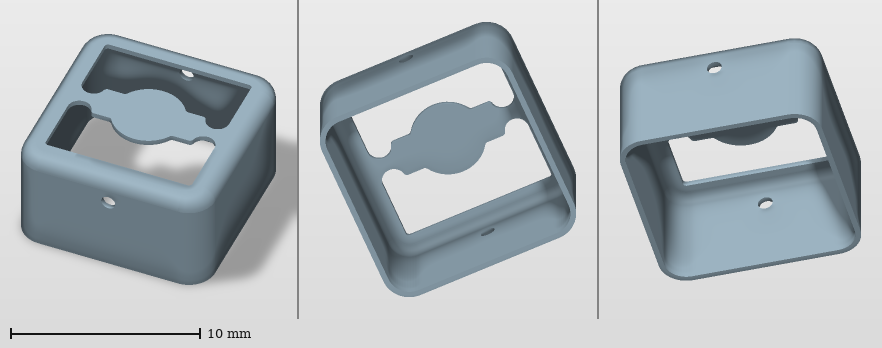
import cadquery as cq

side = 11.0
height = 6.0
wall = 0.3
corner_radius = 1.5
top_edge_radius = 0.8

window_half_side = 4.2
bridge_half_width = 1.0
disc_radius = 2.0
relief_radius = 0.65
window_corner_radius = 0.2

cross_hole_diameter = 0.8
cross_hole_height = 4.4


def rounded_block(block_side, block_height, vertical_radius, top_radius):
    """Square block standing on Z = 0 with rounded vertical and top edges."""
    block = cq.Workplane("XY").rect(block_side, block_side).extrude(block_height)
    return block.edges("|Z").fillet(vertical_radius).faces(">Z").edges().fillet(top_radius)


def make_shell():
    """Cap of constant wall thickness: the cavity is the outside offset inward."""
    outside = rounded_block(side, height, corner_radius, top_edge_radius)
    cavity = rounded_block(
        side - 2 * wall,
        height - wall,
        corner_radius - wall,
        top_edge_radius - wall,
    )
    return outside.cut(cavity)


def make_window():
    """Cutter for the +Y window, with round reliefs where the bridge meets the frame."""
    base = height - 2 * wall
    depth = 3 * wall
    relief_x = window_half_side - relief_radius
    window_width = window_half_side - bridge_half_width

    opening = (
        cq.Workplane("XY", origin=(0, bridge_half_width + window_width / 2, base))
        .rect(2 * window_half_side, window_width)
        .extrude(depth)
        .edges("|Z and >Y")
        .fillet(window_corner_radius)
    )
    reliefs = (
        cq.Workplane("XY", origin=(0, bridge_half_width, base))
        .pushPoints([(-relief_x, 0), (relief_x, 0)])
        .circle(relief_radius)
        .extrude(depth)
    )
    disc = cq.Workplane("XY", origin=(0, 0, base)).circle(disc_radius).extrude(depth)
    window = opening.union(reliefs).cut(disc)

    corner_reach = relief_x - relief_radius + window_corner_radius
    bridge_corners = cq.selectors.BoxSelector(
        (-corner_reach, bridge_half_width - window_corner_radius, base - wall),
        (corner_reach, bridge_half_width + window_corner_radius, base + depth + wall),
    )
    return window.edges("|Z").edges(bridge_corners).fillet(window_corner_radius)


def make_cross_hole():
    """Cutter along Y through both opposite walls."""
    return (
        cq.Workplane("XZ", origin=(0, 0, cross_hole_height))
        .circle(cross_hole_diameter / 2)
        .extrude(side, both=True)
    )


window = make_window()
result = (
    make_shell()
    .cut(window)
    .cut(window.mirror("XZ"))
    .cut(make_cross_hole())
)